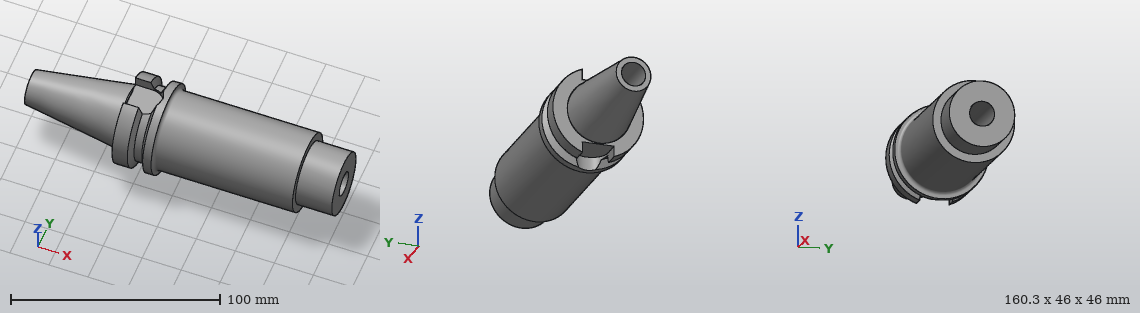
import cadquery as cq

total_length = 160.3
taper_end = 48.5
neck_start = 49.5
flange_start = 50.3
flange_end = 70.4
nose_length = 18.6
body_end = total_length - nose_length

taper_small_radius = 8.8
taper_large_radius = 16.0
neck_radius = 15.7
flange_radius = 23.0
body_radius = 20.0
nose_radius = 16.0
bore_radius = 6.1
body_fillet = 1.6

groove_start = 58.2
groove_floor_start = 60.1
groove_floor_end = 64.1
groove_end = groove_floor_end + (groove_floor_start - groove_start)
groove_floor_radius = 19.0

slot_width = 16.0
slot_floor_height = 16.2
slot_end = 67.3


def turned_body():
    """Revolve the taper, grooved flange, body and nose about X."""
    profile = (
        cq.Workplane("XY")
        .lineTo(0, taper_small_radius)
        .lineTo(taper_end, taper_large_radius)
        .lineTo(neck_start, taper_large_radius)
        .lineTo(flange_start, neck_radius)
        .lineTo(flange_start, flange_radius)
        .lineTo(groove_start, flange_radius)
        .lineTo(groove_floor_start, groove_floor_radius)
        .lineTo(groove_floor_end, groove_floor_radius)
        .lineTo(groove_end, flange_radius)
        .lineTo(flange_end, flange_radius)
        .lineTo(flange_end, body_radius + body_fillet)
        .radiusArc((flange_end + body_fillet, body_radius), -body_fillet)
        .lineTo(body_end, body_radius)
        .lineTo(body_end, nose_radius)
        .lineTo(total_length, nose_radius)
        .lineTo(total_length, 0)
        .close()
    )
    return profile.revolve(360, (0, 0, 0), (1, 0, 0))


def drive_slot():
    """Cutter for the upper slot: flat floor, open toward the taper, rounded inner end."""
    slot_radius = slot_width / 2
    arc_center = slot_end - slot_radius
    return (
        cq.Workplane("XY", origin=(0, 0, slot_floor_height))
        .moveTo(taper_end, -slot_radius)
        .lineTo(arc_center, -slot_radius)
        .threePointArc((slot_end, 0), (arc_center, slot_radius))
        .lineTo(taper_end, slot_radius)
        .close()
        .extrude(flange_radius)
    )


upper_slot = drive_slot()
lower_slot = upper_slot.mirror("XY")
bore = cq.Workplane("YZ").circle(bore_radius).extrude(total_length)

result = turned_body().cut(upper_slot).cut(lower_slot).cut(bore)